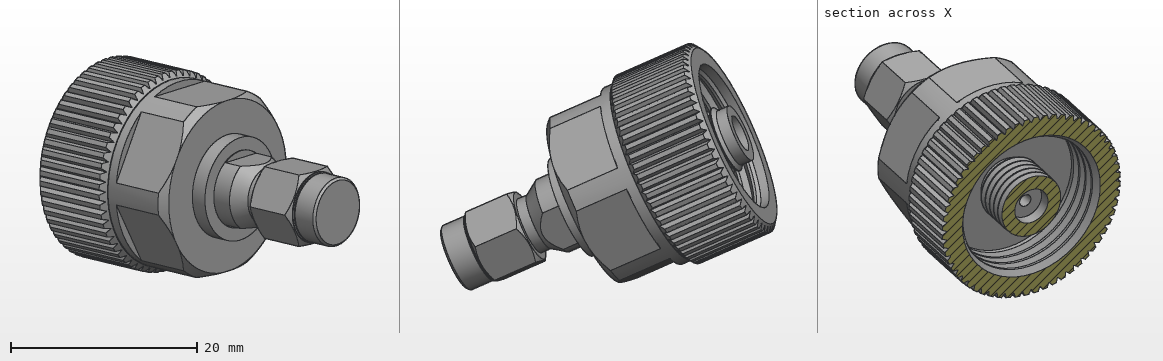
import cadquery as cq
import math


NUT_FRONT = 0.75
NUT_BACK = 10.45
COLLAR_END = 11.65
LARGE_HEX_END = 18.5
FLANGE_END = 20.3
SHOULDER_END = 20.4
BARREL_END = 22.55
CONE_END = 24.2
SMALL_HEX_START = 25.35
SMALL_HEX_END = 31.3
SLEEVE_START = 31.42
OVERALL_LENGTH = 34.3

KNURL_RADIUS = 11.07
KNURL_END_RADIUS = 10.3
KNURL_BEVEL = 0.6
KNURL_COUNT = 60
KNURL_DEPTH = 0.53
KNURL_ANGLE = 60.0

COLLAR_RADIUS = 10.39
LARGE_HEX_FLATS = 19.1
LARGE_HEX_BEVEL = 0.82

FLANGE_RADIUS = 5.73
BARREL_RADIUS = 4.28
BARREL_FLATS = 6.95
NECK_RADIUS = 3.17

SMALL_HEX_FLATS = 8.0
SMALL_HEX_BEVEL = 0.45
SMALL_HEX_FACE_RADIUS = 3.9
SMALL_HEX_LIP = 0.1
RELIEF_RADIUS = 3.7
SLEEVE_RADIUS = 3.8
SLEEVE_BEVEL = 0.25

SOCKET_MOUTH_RADIUS = 8.4
SOCKET_MOUTH_DEPTH = 1.0
SOCKET_CREST_RADIUS = 8.05
SOCKET_BACK = 8.0
SOCKET_PITCH = 1.35
SOCKET_THREAD_COUNT = 4
SOCKET_CREST_WIDTH = 0.3
SOCKET_THREAD_DEPTH = 0.9

STUB_TIP_RADIUS = 3.2
STUB_TIP_LENGTH = 1.27
STUB_CREST_RADIUS = 3.7
STUB_PITCH = 0.89
STUB_CREST_WIDTH = 0.12
CONTACT_BORE_RADIUS = 2.03
CONTACT_BORE_DEPTH = 4.0
CONTACT_HOLE_RADIUS = 0.7
CONTACT_HOLE_DEPTH = 2.0


def revolve_profile(points):
    """Solid of revolution about the X axis from (x, radius) points."""
    return cq.Workplane("XY").polyline(points).close().revolve(360, (0, 0, 0), (1, 0, 0))


def cylinder(start, end, radius):
    return cq.Workplane("YZ").workplane(offset=start).circle(radius).extrude(end - start)


def hex_prism(start, end, flats):
    """Hexagonal prism along X with two flats facing +Z and -Z."""
    corner_diameter = flats / math.cos(math.pi / 6)
    return cq.Workplane("YZ").workplane(offset=start).polygon(6, corner_diameter).extrude(end - start)


def knurled_sleeve():
    sleeve = revolve_profile([
        (NUT_FRONT, 0),
        (NUT_FRONT, KNURL_END_RADIUS),
        (NUT_FRONT + KNURL_BEVEL, KNURL_RADIUS),
        (NUT_BACK - KNURL_BEVEL, KNURL_RADIUS),
        (NUT_BACK, KNURL_END_RADIUS),
        (NUT_BACK, 0),
    ])
    root_radius = KNURL_RADIUS - KNURL_DEPTH
    cut_height = 2 * KNURL_DEPTH
    half_width = cut_height * math.tan(math.radians(KNURL_ANGLE / 2))
    groove = (
        cq.Workplane("YZ").workplane(offset=NUT_FRONT)
        .moveTo(0, root_radius)
        .lineTo(half_width, root_radius + cut_height)
        .lineTo(-half_width, root_radius + cut_height)
        .close()
        .extrude(NUT_BACK - NUT_FRONT)
    )
    grooves = []
    for i in range(KNURL_COUNT):
        turned = groove.rotate((0, 0, 0), (1, 0, 0), i * 360 / KNURL_COUNT)
        grooves.append(turned.val())
    return sleeve.cut(cq.Compound.makeCompound(grooves))


def large_hex():
    """Round blank with six flats milled behind a plain round collar."""
    blank = revolve_profile([
        (NUT_BACK, 0),
        (NUT_BACK, COLLAR_RADIUS),
        (LARGE_HEX_END - LARGE_HEX_BEVEL, COLLAR_RADIUS),
        (LARGE_HEX_END, COLLAR_RADIUS - LARGE_HEX_BEVEL),
        (LARGE_HEX_END, 0),
    ])
    outside_hex = cylinder(COLLAR_END, LARGE_HEX_END, 2 * COLLAR_RADIUS)
    outside_hex = outside_hex.cut(hex_prism(COLLAR_END, LARGE_HEX_END, LARGE_HEX_FLATS))
    return blank.cut(outside_hex)


def barrel():
    """Tapered barrel with two flats facing +Z and -Z."""
    turned = revolve_profile([
        (SHOULDER_END, 0),
        (SHOULDER_END, BARREL_RADIUS),
        (BARREL_END, BARREL_RADIUS),
        (CONE_END, NECK_RADIUS),
        (CONE_END, 0),
    ])
    length = CONE_END - SHOULDER_END
    between_flats = cq.Workplane("XY").box(length, 2 * BARREL_RADIUS, BARREL_FLATS)
    return turned.intersect(between_flats.translate((SHOULDER_END + length / 2, 0, 0)))


def small_hex():
    corner_radius = SMALL_HEX_FLATS / 2 / math.cos(math.pi / 6)
    envelope = revolve_profile([
        (SMALL_HEX_START, 0),
        (SMALL_HEX_START, SMALL_HEX_FACE_RADIUS),
        (SMALL_HEX_START + SMALL_HEX_BEVEL, corner_radius),
        (SMALL_HEX_END - SMALL_HEX_LIP - SMALL_HEX_BEVEL, corner_radius),
        (SMALL_HEX_END - SMALL_HEX_LIP, SMALL_HEX_FACE_RADIUS),
        (SMALL_HEX_END, SMALL_HEX_FACE_RADIUS),
        (SMALL_HEX_END, 0),
    ])
    return envelope.intersect(hex_prism(SMALL_HEX_START, SMALL_HEX_END, SMALL_HEX_FLATS))


def end_sleeve():
    return revolve_profile([
        (SLEEVE_START, 0),
        (SLEEVE_START, SLEEVE_RADIUS),
        (OVERALL_LENGTH - SLEEVE_BEVEL, SLEEVE_RADIUS),
        (OVERALL_LENGTH, SLEEVE_RADIUS - SLEEVE_BEVEL),
        (OVERALL_LENGTH, 0),
    ])


def socket():
    """Void of the threaded socket, its thread formed as V-shaped rings."""
    lead_in_start = NUT_FRONT + SOCKET_MOUTH_DEPTH
    lead_in = SOCKET_MOUTH_RADIUS - SOCKET_CREST_RADIUS
    root_radius = SOCKET_CREST_RADIUS + SOCKET_THREAD_DEPTH
    flank = (SOCKET_PITCH - SOCKET_CREST_WIDTH) / 2
    points = [
        (NUT_FRONT, 0),
        (NUT_FRONT, SOCKET_MOUTH_RADIUS),
        (lead_in_start, SOCKET_MOUTH_RADIUS),
    ]
    for i in range(SOCKET_THREAD_COUNT):
        crest_start = lead_in_start + lead_in + i * SOCKET_PITCH
        groove_start = crest_start + SOCKET_CREST_WIDTH
        points.append((crest_start, SOCKET_CREST_RADIUS))
        points.append((groove_start, SOCKET_CREST_RADIUS))
        points.append((groove_start + flank, root_radius))
    points.append((groove_start + 2 * flank, SOCKET_CREST_RADIUS))
    points.append((SOCKET_BACK, SOCKET_CREST_RADIUS))
    points.append((SOCKET_BACK, 0))
    return revolve_profile(points)


def stub():
    """Central stub with V-shaped thread rings behind a plain tip."""
    flank = (STUB_PITCH - STUB_CREST_WIDTH) / 2
    points = [(0, 0), (0, STUB_TIP_RADIUS), (STUB_TIP_LENGTH, STUB_TIP_RADIUS)]
    x = STUB_TIP_LENGTH
    while x + STUB_PITCH < SOCKET_BACK:
        points.append((x + flank, STUB_CREST_RADIUS))
        points.append((x + flank + STUB_CREST_WIDTH, STUB_CREST_RADIUS))
        x += STUB_PITCH
        points.append((x, STUB_TIP_RADIUS))
    points.append((SOCKET_BACK, STUB_TIP_RADIUS))
    points.append((SOCKET_BACK, 0))
    return revolve_profile(points)


result = (
    knurled_sleeve()
    .union(large_hex())
    .union(cylinder(LARGE_HEX_END, FLANGE_END, FLANGE_RADIUS))
    .union(cylinder(FLANGE_END, SHOULDER_END, BARREL_RADIUS))
    .union(barrel())
    .union(cylinder(CONE_END, SMALL_HEX_START, NECK_RADIUS))
    .union(small_hex())
    .union(cylinder(SMALL_HEX_END, SLEEVE_START, RELIEF_RADIUS))
    .union(end_sleeve())
    .cut(socket())
    .union(stub())
    .cut(cylinder(0, CONTACT_BORE_DEPTH, CONTACT_BORE_RADIUS))
    .cut(cylinder(CONTACT_BORE_DEPTH, CONTACT_BORE_DEPTH + CONTACT_HOLE_DEPTH, CONTACT_HOLE_RADIUS))
)